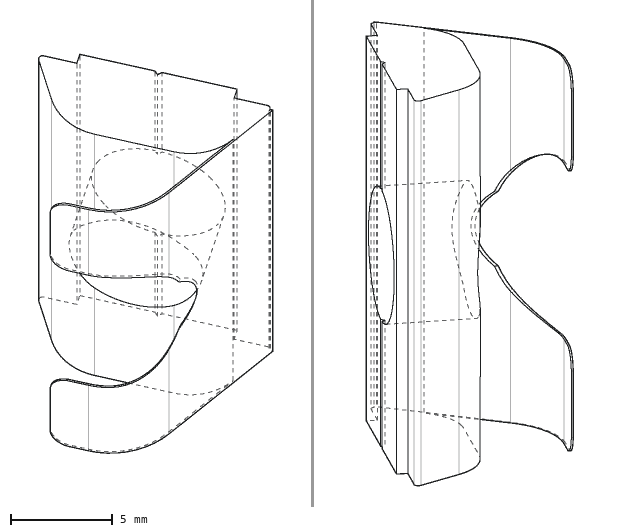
import cadquery as cq
import math

length = 20.0
body_depth = 4.5
land_width = 8.0
land_height = 0.55
nose_half_width = 2.02
nose_radius = 3.0
tip_radius = 0.2
flank_angle = math.radians(60)
groove_half_width = 0.18
groove_depth = 0.18
hole_diameter = 6.8

spring_thickness = 0.1
spring_top_y = -0.75
spring_depth = 9.0
spring_radius = 4.1
spring_end_x = -3.05
spring_corner_radius = 1.0
notch_radius = 4.55
notch_center_from_bend = 0.85
notch_half_steps = 9

bend_tangent = math.tan(flank_angle / 2)
flank_foot_x = nose_half_width + nose_radius * bend_tangent


def flank_x(y):
    """X of the right flank line at a given Y."""
    return flank_foot_x + (y + body_depth) / math.tan(flank_angle)


def bend_point(center_x, center_y, radius, angle):
    """Point on a bend, with the angle measured from straight down."""
    return (center_x + radius * math.sin(angle), center_y - radius * math.cos(angle))


tip_x = flank_x(-land_height)
spring_offset_x = spring_thickness / math.sin(flank_angle)
bend_start_x = flank_x(-spring_depth) + spring_offset_x - spring_radius * bend_tangent
bend_center_y = spring_radius - spring_depth


def make_body():
    nose_y = nose_radius - body_depth
    right_mid = bend_point(nose_half_width, nose_y, nose_radius, flank_angle / 2)
    right_end = bend_point(nose_half_width, nose_y, nose_radius, flank_angle)
    land_x = land_width / 2
    body = (
        cq.Workplane("XY")
        .moveTo(-land_x, 0)
        .lineTo(-groove_half_width, 0)
        .lineTo(0, -groove_depth)
        .lineTo(groove_half_width, 0)
        .lineTo(land_x, 0)
        .lineTo(land_x, -land_height)
        .lineTo(tip_x, -land_height)
        .lineTo(*right_end)
        .threePointArc(right_mid, (nose_half_width, -body_depth))
        .lineTo(-nose_half_width, -body_depth)
        .threePointArc((-right_mid[0], right_mid[1]), (-right_end[0], right_end[1]))
        .lineTo(-tip_x, -land_height)
        .lineTo(-land_x, -land_height)
        .close()
        .extrude(length / 2, both=True)
    )
    return body.edges("|Z").edges("<X or >X").fillet(tip_radius)


def make_strip():
    inner_radius = spring_radius - spring_thickness
    outer_mid = bend_point(bend_start_x, bend_center_y, spring_radius, flank_angle / 2)
    outer_end = bend_point(bend_start_x, bend_center_y, spring_radius, flank_angle)
    inner_mid = bend_point(bend_start_x, bend_center_y, inner_radius, flank_angle / 2)
    inner_end = bend_point(bend_start_x, bend_center_y, inner_radius, flank_angle)
    inner_y = spring_thickness - spring_depth
    inner_top_x = flank_x(spring_top_y)
    return (
        cq.Workplane("XY")
        .moveTo(spring_end_x, -spring_depth)
        .lineTo(bend_start_x, -spring_depth)
        .threePointArc(outer_mid, outer_end)
        .lineTo(inner_top_x + spring_offset_x, spring_top_y)
        .lineTo(inner_top_x, spring_top_y)
        .lineTo(*inner_end)
        .threePointArc(inner_mid, (bend_start_x, inner_y))
        .lineTo(spring_end_x, inner_y)
        .close()
        .extrude(length / 2, both=True)
    )


def unrolled_x(distance):
    """X on the strip at a distance along it from the start of the bend."""
    arc_length = spring_radius * flank_angle
    on_arc = min(distance, arc_length)
    on_flank = max(distance - arc_length, 0)
    arc_x = bend_start_x + spring_radius * math.sin(on_arc / spring_radius)
    return arc_x + on_flank * math.cos(flank_angle)


def make_notch():
    """Round-ended cut that is circular on the unrolled strip and splits it into two fingers."""
    curve = []
    for i in range(2 * notch_half_steps + 1):
        angle = math.pi / 2 * (1 - i / notch_half_steps)
        distance = notch_center_from_bend + notch_radius * math.cos(angle)
        curve.append((unrolled_x(distance), notch_radius * math.sin(angle)))
    return (
        cq.Workplane("XZ")
        .moveTo(spring_end_x, notch_radius)
        .lineTo(*curve[0])
        .spline(curve[1:], includeCurrent=True)
        .lineTo(spring_end_x, -notch_radius)
        .close()
        .extrude(spring_depth)
    )


def make_spring():
    spring = make_strip().cut(make_notch())
    return spring.edges("|Y").edges("<X").fillet(spring_corner_radius)


hole = cq.Workplane("XZ").circle(hole_diameter / 2).extrude(spring_depth)

result = make_body().union(make_spring()).cut(hole)